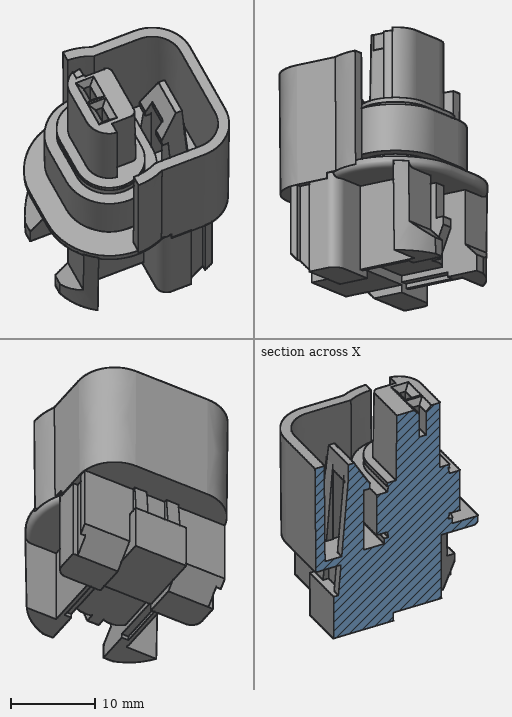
import cadquery as cq
import math

oval_half = 2.45

total_height = 30.0
shroud_top = 25.92
flange_top = 12.33
flange_bottom = 11.1
flange_round = 0.7

flange_radius = 8.1
pedestal_radius = 4.65
pedestal_top = 13.07
neck_radius = 4.08
neck_flare_radius = 4.22
seal_radius = 5.65
seal_bottom = 13.8
seal_top = 19.55
lip_radius = 4.22
lip_bottom = 20.3
lip_top = 20.83
key_half_base = 2.45
key_half_top = 1.65
key_top = 13.5

shroud_half_width = 9.8
shroud_back = 13.9
shroud_corner = 4.85
shroud_wall = 1.32
shroud_top_growth = 0.12
draft = math.degrees(math.atan(shroud_top_growth / (shroud_top - flange_bottom)))

nose_radius = 2.93
nose_half_flat = 2.35
nose_shoulder_y = -0.3
block_half_width = 3.95
block_back = 3.06
block_top_inset = 0.12
block_corner = 0.8
block_relief_bottom = 28.05
block_relief_depth = 0.1
nose_notch_front = -1.36
nose_notch_depth = 0.4
nose_key_half = 5.25
nose_key_front_half = 5.0

terminal_spacing = 3.45
funnel_width = 3.19
funnel_length = 2.33
funnel_centre_y = -0.57
funnel_depth = 0.75
terminal_width = 1.9
terminal_length = 0.86
terminal_depth = 4.0

arm_front = 7.33
arm_back = 9.5
arm_back_base = 9.6
arm_top = 25.07
arm_half_base = 4.79
arm_half_top = 2.46
arm_top_front = 8.69
hook_tip = 6.54
hook_tip_top = 21.5
hook_bottom = 20.7
window_half = 1.48
window_top = 22.2
bar_front = 7.46

rib_inner = 1.37
rib_outer = 3.03
rib_top = 23.1
rib_foot_y = 10.85
release_top = 6.95
release_bottom = 0.95
release_back = 11.49

body_half_width = 9.7
body_front = 3.35
body_back = 10.1
body_corner = 1.4
body_flat_back = 7.38
groove_back = 9.16
groove_depth = 0.65

slot_half = 3.5
wall_half = 4.9
under_top = flange_bottom + flange_round
leg_bottom = 0.73
leg_radius_top = 8.12
leg_radius_bottom = 7.96
wall_relief_front = -3.35
wall_relief_top = 1.3
wall_skin = 0.5
leg_back = -4.53
leg_front = -5.92
toe_front = -7.6
toe_low = 2.74
toe_high = 4.35
tube_bottom = 2.09
tube_radius = 2.67
web_half = 0.79
web_front = -4.75
web_foot_front = -4.2
tab_front = -5.8
tab_top = 6.73
tab_bottom = 5.75


def box(x0, x1, y0, y1, z0, z1):
    return cq.Workplane("XY").box(x1 - x0, y1 - y0, z1 - z0, centered=False).translate((x0, y0, z0))


def oval_sketch(radius, z):
    return cq.Workplane("XY").workplane(offset=z).slot2D(2 * (oval_half + radius), 2 * radius)


def oval(radius, z0, z1):
    return oval_sketch(radius, z0).extrude(z1 - z0)


def along_x(points, x0, x1):
    """Prism along X from a profile of (y, z) points."""
    return cq.Workplane("YZ").workplane(offset=x0).polyline(points).close().extrude(x1 - x0)


def along_y(points, y0, y1):
    """Prism along Y from a profile of (x, z) points."""
    return cq.Workplane("XZ").workplane(offset=-y1).polyline(points).close().extrude(y1 - y0)


def both_sides(solid):
    return solid.union(solid.mirror("YZ"))


def shroud_prism(inset):
    """Drafted prism of the shroud outline, moved inwards by inset."""
    radius = flange_radius - inset
    half = shroud_half_width - inset
    back = shroud_back - inset
    corner = shroud_corner - inset
    diagonal = corner * (1 - math.sqrt(0.5))
    flare_y = math.sqrt(radius**2 - (half - oval_half) ** 2)
    flare_mid = math.radians(-90 + math.degrees(math.atan2(flare_y, half - oval_half))) / 2
    mid_x = oval_half + radius * math.cos(flare_mid)
    mid_y = radius * math.sin(flare_mid)
    outline = (
        cq.Workplane("XY")
        .workplane(offset=flange_bottom)
        .moveTo(-oval_half, -radius)
        .lineTo(oval_half, -radius)
        .threePointArc((mid_x, mid_y), (half, flare_y))
        .lineTo(half, back - corner)
        .threePointArc((half - diagonal, back - diagonal), (half - corner, back))
        .lineTo(corner - half, back)
        .threePointArc((diagonal - half, back - diagonal), (-half, back - corner))
        .lineTo(-half, flare_y)
        .threePointArc((-mid_x, mid_y), (-oval_half, -radius))
        .close()
    )
    return outline.extrude(shroud_top - flange_bottom, taper=-draft)


def shroud():
    """U-shaped wall behind Y = 0 with its floor, raised over the flange rounding at the front."""
    outer = shroud_prism(0)
    cavity = shroud_prism(shroud_wall)
    reach = 2 * shroud_back
    cavity = cavity.intersect(box(-reach, reach, -reach, reach, flange_top, shroud_top))
    open_front = box(-reach, reach, -reach, 0, flange_bottom, shroud_top)
    under_flare = box(-reach, reach, 0, body_front + body_corner, flange_bottom, flange_bottom + flange_round)
    return outer.cut(cavity).cut(open_front).cut(under_flare)


def oval_stack():
    """Flange, keyed pedestal, seal, and the neck with its lip."""
    flange = oval(flange_radius, flange_bottom, flange_top).faces("<Z").edges().fillet(flange_round)
    pedestal = oval(pedestal_radius, flange_top, pedestal_top)
    key_points = [
        (-key_half_base, pedestal_top),
        (key_half_base, pedestal_top),
        (key_half_top, key_top),
        (-key_half_top, key_top),
    ]
    key = along_y(key_points, -pedestal_radius, 0)
    neck = oval(neck_radius, flange_top, lip_top)
    flare = neck_flare_radius - neck_radius
    lower_angle = math.degrees(math.atan(flare / (seal_bottom - pedestal_top)))
    lower = oval_sketch(neck_radius, pedestal_top).extrude(seal_bottom - pedestal_top, taper=-lower_angle)
    upper_angle = math.degrees(math.atan(flare / (lip_bottom - seal_top)))
    upper = oval_sketch(neck_flare_radius, seal_top).extrude(lip_bottom - seal_top, taper=upper_angle)
    seal = oval(seal_radius, seal_bottom, seal_top)
    lip = oval(lip_radius, lip_bottom, lip_top)
    stack = flange
    for piece in (pedestal, key, neck, lower, upper, seal, lip):
        stack = stack.union(piece)
    return stack


def nose():
    """Plug nose: rounded front half, drafted block behind it, keying details and terminal openings."""
    height = total_height - lip_top
    rounded = (
        cq.Workplane("XY")
        .workplane(offset=lip_top)
        .slot2D(2 * (nose_half_flat + nose_radius), 2 * nose_radius)
        .extrude(height)
    )
    reach = nose_half_flat + nose_radius
    rounded = rounded.intersect(box(-reach, reach, -nose_radius, nose_shoulder_y, lip_top, total_height))
    block_front = nose_shoulder_y - block_corner
    block_draft = math.degrees(math.atan(block_top_inset / height))
    block = (
        cq.Workplane("XY", origin=(0, (block_front + block_back) / 2, lip_top))
        .rect(2 * block_half_width, block_back - block_front)
        .extrude(height, taper=block_draft)
        .faces(">Y")
        .edges("not #Z")
        .fillet(block_corner)
    )
    relief = box(
        -block_half_width,
        block_relief_depth + block_top_inset - block_half_width,
        nose_shoulder_y,
        block_back - block_corner,
        block_relief_bottom,
        total_height,
    )
    notch = box(
        -reach,
        -block_half_width,
        nose_notch_front,
        nose_shoulder_y,
        total_height - nose_notch_depth,
        total_height,
    )
    key_outline = [
        (-nose_key_half, nose_shoulder_y),
        (-nose_key_front_half, nose_notch_front),
        (-block_half_width, nose_notch_front),
        (-block_half_width, nose_shoulder_y),
    ]
    key = cq.Workplane("XY").workplane(offset=lip_top).polyline(key_outline).close()
    key = key.extrude(height - nose_notch_depth)
    body = rounded.cut(notch).union(key).union(block).cut(relief)
    for side in (-1, 1):
        body = body.cut(terminal_opening(side * terminal_spacing / 2))
    return body


def terminal_opening(x):
    """Tapered lead-in followed by a blind rectangular hole."""
    top = cq.Workplane("XY", origin=(x, funnel_centre_y, total_height))
    funnel = (
        top.rect(funnel_width, funnel_length)
        .workplane(offset=-funnel_depth)
        .rect(terminal_width, terminal_length)
        .loft()
    )
    hole = top.rect(terminal_width, terminal_length).extrude(-terminal_depth)
    return funnel.union(hole)


def latch_arm():
    """Two posts joined by a bar at the top, with a sloped hook facing the nose."""
    post = [
        (-arm_half_base, flange_top),
        (arm_half_base, flange_top),
        (arm_half_top, arm_top),
        (-arm_half_top, arm_top),
    ]
    profile = [
        (arm_back_base, flange_top),
        (arm_back, arm_top),
        (arm_top_front, arm_top),
        (hook_tip, hook_tip_top),
        (hook_tip, hook_bottom),
        (arm_front, hook_bottom),
        (arm_front, flange_top),
    ]
    arm = along_y(post, hook_tip, arm_back_base).intersect(along_x(profile, -arm_half_base, arm_half_base))
    notch = box(-window_half, window_half, hook_tip, bar_front, flange_top, arm_top)
    window = box(-window_half, window_half, hook_tip, arm_back_base, flange_top, window_top)
    return arm.cut(notch).cut(window)


def latch_ribs():
    """Sloped ribs behind the posts, running down through the floor to the release block."""
    profile = [
        (arm_back, rib_top),
        (rib_foot_y, release_top),
        (body_front, release_top),
        (body_front, flange_top),
        (arm_back, flange_top),
    ]
    return both_sides(along_x(profile, rib_inner, rib_outer))


def rear_body():
    """Grooved, chamfered block below the shroud, slotted in the middle, with the release block."""
    body = box(-body_half_width, body_half_width, body_front, body_back, 0, under_top)
    body = body.edges("|Z and <Y").fillet(body_corner)
    corner_back = body_front + body_corner
    step = box(-body_half_width, body_half_width, corner_back, body_back, flange_bottom, under_top)
    chamfer_rise = body_back - body_flat_back
    chamfer = along_x(
        [(body_flat_back, 0), (body_back, 0), (body_back, chamfer_rise)], -body_half_width, body_half_width
    )
    groove = box(
        body_half_width - groove_depth, body_half_width, body_flat_back, groove_back, 0, flange_bottom
    )
    slot = box(-slot_half, slot_half, body_front, body_back, 0, release_bottom)
    body = body.cut(step).cut(chamfer).cut(both_sides(groove)).cut(slot)
    release = box(-slot_half, slot_half, body_front, release_back, release_bottom, release_top)
    return body.union(release)


def legs():
    """Front legs with toes, and the side walls that tie them to the rear body."""
    profile = [
        (leg_back, leg_bottom),
        (leg_back, under_top),
        (leg_front, under_top),
        (leg_front, toe_high),
        (toe_front, toe_low),
        (toe_front, leg_bottom),
    ]
    leg = along_x(profile, slot_half, oval_half + leg_radius_top)
    leg_draft = math.degrees(math.atan((leg_radius_top - leg_radius_bottom) / (under_top - leg_bottom)))
    outer = oval_sketch(leg_radius_bottom, leg_bottom).extrude(under_top - leg_bottom, taper=-leg_draft)
    leg = leg.intersect(outer)
    wall = box(slot_half, wall_half, leg_back, body_front, leg_bottom, under_top)
    relief = box(
        slot_half, wall_half - wall_skin, wall_relief_front, body_front, leg_bottom, wall_relief_top
    )
    return both_sides(leg.union(wall).cut(relief))


def terminal_tubes():
    """Tubes around the terminals with the tabbed web between them."""
    core = box(-slot_half, slot_half, funnel_centre_y, body_front, tube_bottom, under_top)
    for side in (-1, 1):
        tube = (
            cq.Workplane("XY", origin=(side * terminal_spacing / 2, funnel_centre_y, tube_bottom))
            .circle(tube_radius)
            .extrude(under_top - tube_bottom)
        )
        core = core.union(tube)
    web_profile = [
        (funnel_centre_y, tube_bottom),
        (web_foot_front, tube_bottom),
        (tab_front, tab_bottom),
        (tab_front, tab_top),
        (web_front, tab_top),
        (web_front, under_top),
        (funnel_centre_y, under_top),
    ]
    return core.union(along_x(web_profile, -web_half, web_half))


result = shroud()
for part in (oval_stack(), nose(), latch_arm(), latch_ribs(), rear_body(), legs(), terminal_tubes()):
    result = result.union(part)